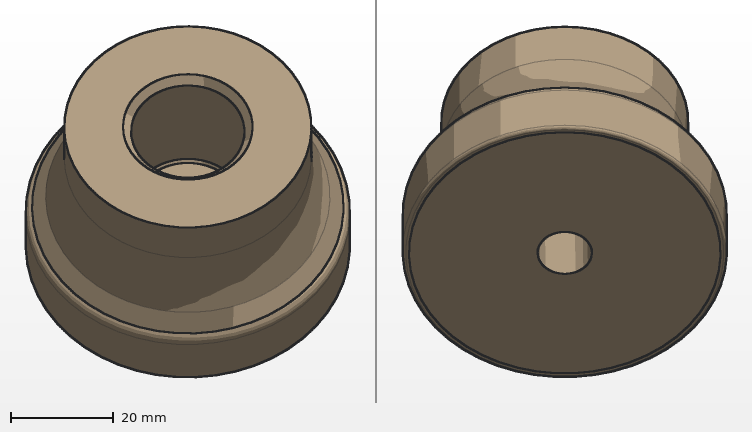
import cadquery as cq
import math

total_height = 40.0
sleeve_radius = 31.5

neck_radius = 48.0 / 2
base_radius = 60.5 / 2
base_height = 13.35
flare_bottom = 16.7
flare_top = 30.0
flare_bottom_radius = 27.6

bore_radius = 22.0 / 2
bore_floor = 13.35
bore_mouth_chamfer = 1.6
bore_floor_chamfer = 0.55
through_radius = 10.5 / 2

sleeve_shoulder_drop = 1.95
sleeve_bottom_round = 0.6


def tangent_arc_midpoint(wall_radius, wall_height, end_radius, end_height):
    """Middle of the arc that leaves a vertical wall tangentially and ends at a given point."""
    rise = end_height - wall_height
    run = end_radius - wall_radius
    arc_radius = (rise**2 + run**2) / (2 * abs(run))
    half_angle = math.asin(abs(rise) / arc_radius) / 2
    radius = wall_radius + math.copysign(arc_radius * (1 - math.cos(half_angle)), run)
    height = wall_height + math.copysign(arc_radius * math.sin(half_angle), rise)
    return radius, height


def make_core():
    """Turned core with a chamfered, stepped bore along Z."""
    flare_middle = tangent_arc_midpoint(neck_radius, flare_top, flare_bottom_radius, flare_bottom)
    profile = (
        cq.Workplane("XZ")
        .moveTo(through_radius, 0)
        .lineTo(base_radius, 0)
        .lineTo(base_radius, base_height)
        .lineTo(flare_bottom_radius, flare_bottom)
        .threePointArc(flare_middle, (neck_radius, flare_top))
        .lineTo(neck_radius, total_height)
        .lineTo(bore_radius + bore_mouth_chamfer, total_height)
        .lineTo(bore_radius, total_height - bore_mouth_chamfer)
        .lineTo(bore_radius, bore_floor + bore_floor_chamfer)
        .lineTo(bore_radius - bore_floor_chamfer, bore_floor)
        .lineTo(through_radius, bore_floor)
        .close()
    )
    return profile.revolve(360, (0, 0, 0), (0, 1, 0))


def make_sleeve():
    """Thin sleeve around the base, with an arched shoulder and a rounded bottom edge."""
    shoulder_height = base_height - sleeve_shoulder_drop
    shoulder_middle = tangent_arc_midpoint(sleeve_radius, shoulder_height, base_radius, base_height)
    profile = (
        cq.Workplane("XZ")
        .moveTo(base_radius, 0)
        .lineTo(sleeve_radius, 0)
        .lineTo(sleeve_radius, shoulder_height)
        .threePointArc(shoulder_middle, (base_radius, base_height))
        .close()
    )
    sleeve = profile.revolve(360, (0, 0, 0), (0, 1, 0))
    outer_edge = cq.selectors.RadiusNthSelector(-1)
    return sleeve.faces("<Z").edges(outer_edge).fillet(sleeve_bottom_round)


core = make_core()
sleeve = make_sleeve()
result = cq.Compound.makeCompound([core.val(), sleeve.val()])